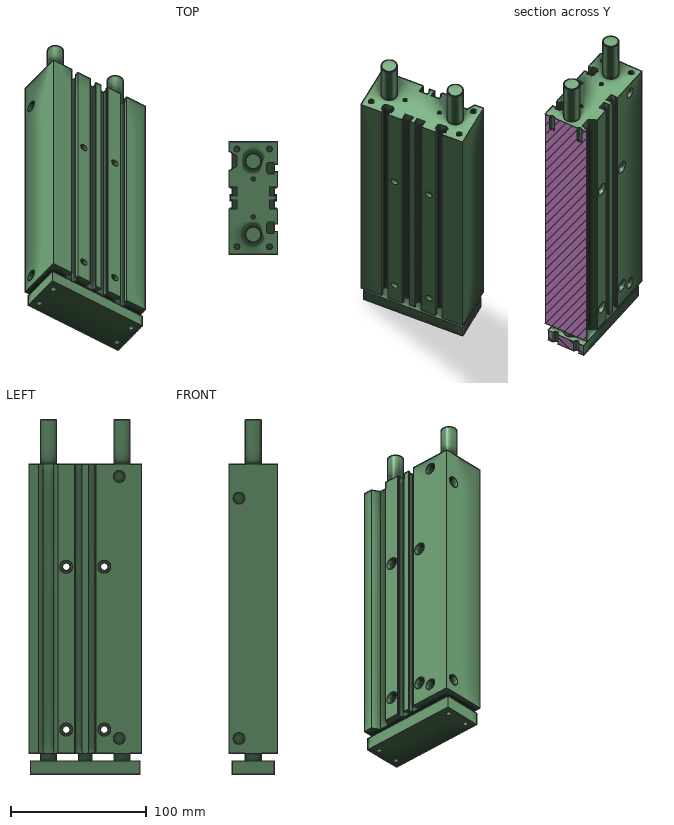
import cadquery as cq


body_width = 36.0
body_length = 83.0
total_height = 261.5
half_width = body_width / 2
half_length = body_length / 2

plate_width = 31.0
plate_length = 81.0
plate_height = 10.0
plate_hole_dia = 4.2
plate_hole_x = 9.0
plate_hole_y = 35.0

plate_gap = 5.5
rod_overhang = 33.0
body_bottom = plate_height + plate_gap
body_top = total_height - rod_overhang
body_height = body_top - body_bottom

guide_rod_dia = 12.0
guide_rod_y = 27.0
guide_rod_chamfer = 0.5
piston_rod_dia = 10.0

corner_hole_dia = 4.2
corner_hole_x = 12.0
corner_hole_y = 36.0
corner_hole_depth = 13.0
pin_hole_dia = 3.0
pin_hole_y = 14.0
pin_hole_depth = 6.0

mount_hole_dia = 5.5
mount_bore_dia = 9.5
mount_bore_depth = 5.5
mount_y = 14.0
mount_lower_z = body_bottom + 17.5
mount_pitch_z = 120.0

port_dia = 8.6
port_depth = 8.0
side_port_y = -25.0
side_port_bottom_offset = 11.0
side_port_top_offset = 9.0
front_port_x = -10.5
front_port_bottom_offset = 11.0
front_port_top_offset = 25.0

piston_rod_top = body_top - side_port_top_offset

recess_length = 16.0
recess_depth = 0.9
sensor_slot_y = 4.8
sensor_mouth = 4.9
sensor_pocket = 6.6
sensor_lip_depth = 1.9
sensor_slot_depth = 5.9

tee_slot_y = 22.0
tee_mouth = 5.4
tee_pocket = 8.4
tee_lip_depth = 2.8
tee_straight_depth = 7.0
tee_slot_depth = 8.2

groove_mouth_start = 20.0
groove_mouth_end = 34.4
groove_depth = 6.0
groove_wall_run = 3.4


def slot_cut(side, depth_from, depth_to, y_center, y_size):
    """Full-height box cutter between two depths below the -X (side -1) or +X (side 1) face."""
    x_center = side * (half_width - (depth_from + depth_to) / 2)
    return (
        cq.Workplane("XY", origin=(x_center, y_center, body_bottom))
        .rect(depth_to - depth_from, y_size)
        .extrude(body_height)
    )


def tee_slot_cut(y_center):
    """Full-height T-slot cutter on the +X face, its floor narrowed by two bevels."""
    mouth = tee_mouth / 2
    pocket = tee_pocket / 2
    lip_x = half_width - tee_lip_depth
    straight_x = half_width - tee_straight_depth
    floor_x = half_width - tee_slot_depth
    return (
        cq.Workplane("XY", origin=(0, y_center, body_bottom))
        .polyline([
            (half_width, -mouth), (lip_x, -mouth), (lip_x, -pocket), (straight_x, -pocket),
            (floor_x, -mouth), (floor_x, mouth),
            (straight_x, pocket), (lip_x, pocket), (lip_x, mouth), (half_width, mouth),
        ])
        .close()
        .extrude(body_height)
    )


def groove_cut():
    """Full-height trapezoidal groove cutter on the -X face."""
    floor_x = -half_width + groove_depth
    return (
        cq.Workplane("XY", origin=(0, 0, body_bottom))
        .polyline([
            (-half_width, groove_mouth_start), (floor_x, groove_mouth_start + groove_wall_run),
            (floor_x, groove_mouth_end - groove_wall_run), (-half_width, groove_mouth_end),
        ])
        .close()
        .extrude(body_height)
    )


def cylinder_x(dia, x_start, length, y, z):
    return cq.Workplane("YZ", origin=(x_start, y, z)).circle(dia / 2).extrude(length)


def cylinder_y(dia, y_start, length, x, z):
    return cq.Workplane("XZ", origin=(x, y_start, z)).circle(dia / 2).extrude(-length)


def cylinder_z(dia, z_start, length, x, y):
    return cq.Workplane("XY", origin=(x, y, z_start)).circle(dia / 2).extrude(length)


def make_housing():
    body = (
        cq.Workplane("XY", origin=(0, 0, body_bottom))
        .rect(body_width, body_length)
        .extrude(body_height)
    )

    for side in (-1, 1):
        body = body.cut(slot_cut(side, 0, recess_depth, 0, recess_length))
        for y in (-sensor_slot_y, sensor_slot_y):
            body = body.cut(slot_cut(side, 0, sensor_slot_depth, y, sensor_mouth))
            body = body.cut(slot_cut(side, sensor_lip_depth, sensor_slot_depth, y, sensor_pocket))

    body = body.cut(groove_cut())
    for y in (-tee_slot_y, tee_slot_y):
        body = body.cut(tee_slot_cut(y))

    for y in (-guide_rod_y, guide_rod_y):
        body = body.cut(cylinder_z(guide_rod_dia, body_bottom, body_height, 0, y))
    body = body.cut(cylinder_z(piston_rod_dia, body_bottom, piston_rod_top - body_bottom, 0, 0))

    for x in (-corner_hole_x, corner_hole_x):
        for y in (-corner_hole_y, corner_hole_y):
            start = body_top - corner_hole_depth
            body = body.cut(cylinder_z(corner_hole_dia, start, corner_hole_depth, x, y))
    for y in (-pin_hole_y, pin_hole_y):
        body = body.cut(cylinder_z(pin_hole_dia, body_top - pin_hole_depth, pin_hole_depth, 0, y))

    for y in (-mount_y, mount_y):
        for z in (mount_lower_z, mount_lower_z + mount_pitch_z):
            body = body.cut(cylinder_x(mount_hole_dia, -half_width, body_width, y, z))
            body = body.cut(cylinder_x(mount_bore_dia, -half_width, mount_bore_depth, y, z))

    for z in (body_bottom + side_port_bottom_offset, body_top - side_port_top_offset):
        body = body.cut(cylinder_x(port_dia, -half_width, port_depth, side_port_y, z))
    for z in (body_bottom + front_port_bottom_offset, body_top - front_port_top_offset):
        body = body.cut(cylinder_y(port_dia, -half_length, port_depth, front_port_x, z))
    return body


def make_carriage():
    plate = cq.Workplane("XY").rect(plate_width, plate_length).extrude(plate_height)
    for x in (-plate_hole_x, plate_hole_x):
        for y in (-plate_hole_y, plate_hole_y):
            plate = plate.cut(cylinder_z(plate_hole_dia, 0, plate_height, x, y))

    carriage = plate.union(
        cylinder_z(piston_rod_dia, plate_height, piston_rod_top - plate_height, 0, 0)
    )
    for y in (-guide_rod_y, guide_rod_y):
        rod = cylinder_z(guide_rod_dia, plate_height, total_height - plate_height, 0, y)
        carriage = carriage.union(rod.faces(">Z").chamfer(guide_rod_chamfer))
    return carriage


housing = make_housing()
carriage = make_carriage()

result = cq.Compound.makeCompound([housing.val(), carriage.val()])